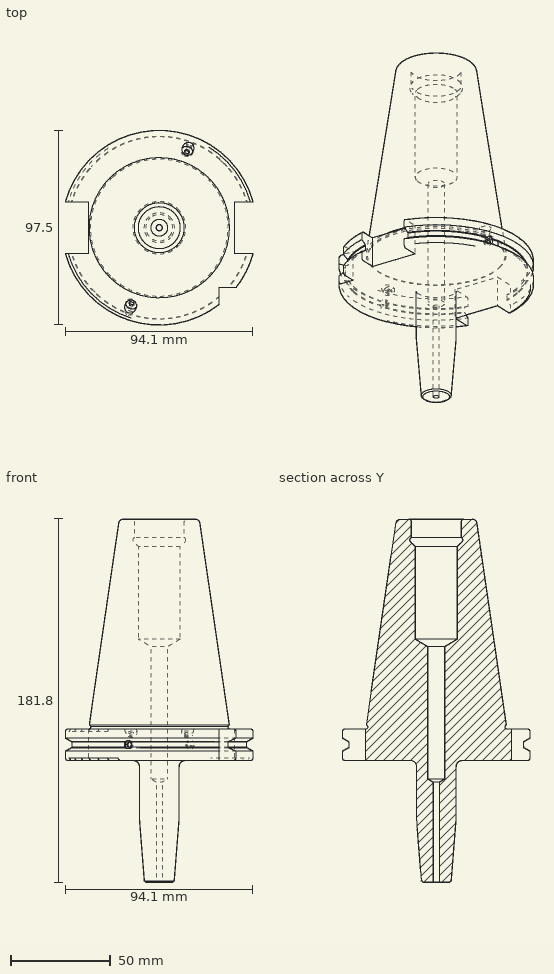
import math

import cadquery as cq


GAUGE_RADIUS = 69.85 / 2
TAPER_SLOPE = 7 / 48
SHANK_TOP_Z = 101.75
SHANK_RIM_FILLET = 2.3
UNDERCUT_TOP_Z = -1.2
UNDERCUT_RADIUS = 34.4
UNDERCUT_FILLET = 0.9

FLANGE_RADIUS = 97.5 / 2
FLANGE_TOP_Z = -3.2
FLANGE_BOTTOM_Z = -19.1
FLANGE_RIM_FILLET = 1.4
GROOVE_Z = -11.1
GROOVE_FLOOR_RADIUS = 91.25 / 2
GROOVE_MOUTH_HALF_WIDTH = 3.25
GROOVE_FLANK_ANGLE = 30.0
GROOVE_ROOT_FILLET = 0.4

SLOT_WIDTH = 25.7
SLOT_FLOOR_MINUS_X = 35.5
SLOT_FLOOR_PLUS_X = 37.7
NOTCH_X = 30.0
NOTCH_Y = 30.0

NOSE_RADIUS = 10.0
NOSE_ROOT_FILLET = 3.0
NOSE_CONE_TOP_Z = -48.0
NOSE_TIP_Z = -80.0
NOSE_CONE_ANGLE = 4.5
NOSE_TIP_CHAMFER = 0.8

PILOT_RADIUS = 12.5
PILOT_DEPTH = 9.2
PILOT_MOUTH_FILLET = 1.25
RELIEF_RADIUS = 13.2
RELIEF_DEPTH = 11.7
THREAD_RADIUS = 10.5
THREAD_START_DEPTH = 13.6
THREAD_END_DEPTH = 60.0
CHANNEL_RADIUS = 4.2
CHANNEL_END_DEPTH = 130.0
TOOL_BORE_RADIUS = 1.5
DRILL_HALF_ANGLE = 59.0

PORT_ANGLES = (70.0, 250.0)
PORT_PITCH_RADIUS = 42.0
FACE_HOLE_RADIUS = 2.9
PORT_TILT = 30.0
FACE_HOLE_DEPTH = 2.8
SOCKET_ACROSS_CORNERS = 2.6
SOCKET_DEPTH = 1.5
SIDE_HOLE_RADIUS = 2.0
SIDE_HOLE_DEPTH = 1.5

CUT_MARGIN = 5.0


def taper_radius(z):
    return GAUGE_RADIUS - TAPER_SLOPE * z


def make_shank():
    fillet_inset = UNDERCUT_FILLET * (1 - math.sqrt(0.5))
    undercut_lip = taper_radius(UNDERCUT_TOP_Z) - UNDERCUT_RADIUS
    profile = (
        cq.Workplane("XZ")
        .moveTo(0, FLANGE_TOP_Z)
        .lineTo(UNDERCUT_RADIUS + UNDERCUT_FILLET, FLANGE_TOP_Z)
        .threePointArc(
            (UNDERCUT_RADIUS + fillet_inset, FLANGE_TOP_Z + fillet_inset),
            (UNDERCUT_RADIUS, FLANGE_TOP_Z + UNDERCUT_FILLET),
        )
        .lineTo(UNDERCUT_RADIUS, UNDERCUT_TOP_Z - undercut_lip)
        .lineTo(taper_radius(UNDERCUT_TOP_Z), UNDERCUT_TOP_Z)
        .lineTo(taper_radius(SHANK_TOP_Z), SHANK_TOP_Z)
        .lineTo(0, SHANK_TOP_Z)
        .close()
    )
    shank = profile.revolve(360, (0, 0), (0, 1))
    return shank.faces(">Z").edges().fillet(SHANK_RIM_FILLET)


def make_flange():
    thickness = FLANGE_TOP_Z - FLANGE_BOTTOM_Z
    disc = cq.Workplane("XY", origin=(0, 0, FLANGE_BOTTOM_Z)).circle(FLANGE_RADIUS).extrude(thickness)
    return disc.edges().fillet(FLANGE_RIM_FILLET).cut(make_groove())


def make_groove():
    flank_slope = math.tan(math.radians(GROOVE_FLANK_ANGLE))
    floor_half = GROOVE_MOUTH_HALF_WIDTH - (FLANGE_RADIUS - GROOVE_FLOOR_RADIUS) * flank_slope
    outer_radius = FLANGE_RADIUS + CUT_MARGIN
    outer_half = GROOVE_MOUTH_HALF_WIDTH + CUT_MARGIN * flank_slope
    ring = (
        cq.Workplane("XZ")
        .moveTo(GROOVE_FLOOR_RADIUS, GROOVE_Z - floor_half)
        .lineTo(outer_radius, GROOVE_Z - outer_half)
        .lineTo(outer_radius, GROOVE_Z + outer_half)
        .lineTo(GROOVE_FLOOR_RADIUS, GROOVE_Z + floor_half)
        .close()
        .revolve(360, (0, 0), (0, 1))
    )
    floor_edges = cq.selectors.RadiusNthSelector(0)
    return ring.edges(floor_edges).fillet(GROOVE_ROOT_FILLET)


def flange_box(x_start, x_end, y_start, y_end):
    """Block through the full flange thickness between the given X and Y limits."""
    return (
        cq.Workplane("XY", origin=(0, 0, FLANGE_BOTTOM_Z))
        .moveTo(x_start, y_start)
        .lineTo(x_end, y_start)
        .lineTo(x_end, y_end)
        .lineTo(x_start, y_end)
        .close()
        .extrude(FLANGE_TOP_Z - FLANGE_BOTTOM_Z)
    )


def cut_slots_and_notch(flange):
    reach = FLANGE_RADIUS + CUT_MARGIN
    half_slot = SLOT_WIDTH / 2
    slot_minus_x = flange_box(-reach, -SLOT_FLOOR_MINUS_X, -half_slot, half_slot)
    slot_plus_x = flange_box(SLOT_FLOOR_PLUS_X, reach, -half_slot, half_slot)
    notch = flange_box(NOTCH_X, reach, -reach, -NOTCH_Y)
    return flange.cut(slot_minus_x).cut(slot_plus_x).cut(notch)


def make_nose():
    cone_height = NOSE_CONE_TOP_Z - NOSE_TIP_Z
    tip_radius = NOSE_RADIUS - cone_height * math.tan(math.radians(NOSE_CONE_ANGLE))
    root_z = FLANGE_BOTTOM_Z - NOSE_ROOT_FILLET
    root_radius = NOSE_RADIUS + NOSE_ROOT_FILLET
    arc_offset = NOSE_ROOT_FILLET * math.sqrt(0.5)
    profile = (
        cq.Workplane("XZ")
        .moveTo(0, NOSE_TIP_Z)
        .lineTo(tip_radius, NOSE_TIP_Z)
        .lineTo(NOSE_RADIUS, NOSE_CONE_TOP_Z)
        .lineTo(NOSE_RADIUS, root_z)
        .threePointArc(
            (root_radius - arc_offset, root_z + arc_offset),
            (root_radius, FLANGE_BOTTOM_Z),
        )
        .lineTo(0, FLANGE_BOTTOM_Z)
        .close()
    )
    nose = profile.revolve(360, (0, 0), (0, 1))
    return nose.faces("<Z").edges().chamfer(NOSE_TIP_CHAMFER)


def make_bore():
    drill_slope = math.tan(math.radians(DRILL_HALF_ANGLE))
    thread_cone = (THREAD_RADIUS - CHANNEL_RADIUS) / drill_slope
    channel_cone = (CHANNEL_RADIUS - TOOL_BORE_RADIUS) / drill_slope
    mouth_radius = PILOT_RADIUS + PILOT_MOUTH_FILLET
    arc_offset = PILOT_MOUTH_FILLET * math.sqrt(0.5)

    def depth(value):
        return SHANK_TOP_Z - value

    return (
        cq.Workplane("XZ")
        .moveTo(0, SHANK_TOP_Z)
        .lineTo(mouth_radius, SHANK_TOP_Z)
        .threePointArc(
            (mouth_radius - arc_offset, depth(PILOT_MOUTH_FILLET) + arc_offset),
            (PILOT_RADIUS, depth(PILOT_MOUTH_FILLET)),
        )
        .lineTo(PILOT_RADIUS, depth(PILOT_DEPTH))
        .threePointArc(
            (RELIEF_RADIUS, depth((PILOT_DEPTH + RELIEF_DEPTH) / 2)),
            (PILOT_RADIUS, depth(RELIEF_DEPTH)),
        )
        .lineTo(THREAD_RADIUS, depth(THREAD_START_DEPTH))
        .lineTo(THREAD_RADIUS, depth(THREAD_END_DEPTH))
        .lineTo(CHANNEL_RADIUS, depth(THREAD_END_DEPTH + thread_cone))
        .lineTo(CHANNEL_RADIUS, depth(CHANNEL_END_DEPTH))
        .lineTo(TOOL_BORE_RADIUS, depth(CHANNEL_END_DEPTH + channel_cone))
        .lineTo(TOOL_BORE_RADIUS, NOSE_TIP_Z)
        .lineTo(0, NOSE_TIP_Z)
        .close()
        .revolve(360, (0, 0), (0, 1))
    )


def make_plugged_hole(plane, radius, depth):
    """Blind hole with a hexagon socket in its floor; the plane lies one cut margin outside the mouth."""
    hole = cq.Workplane(plane).circle(radius).extrude(CUT_MARGIN + depth)
    socket = (
        cq.Workplane(plane)
        .polygon(6, SOCKET_ACROSS_CORNERS)
        .extrude(CUT_MARGIN + depth + SOCKET_DEPTH)
    )
    return hole.union(socket)


def make_coolant_port(angle):
    """Inclined hole in the flange face and radial hole in the groove floor, turned to the given angle."""
    tilt = math.radians(PORT_TILT)
    inward_down = cq.Vector(-math.sin(tilt), 0, -math.cos(tilt))
    face_start = cq.Vector(PORT_PITCH_RADIUS, 0, FLANGE_TOP_Z) - inward_down * CUT_MARGIN
    face_plane = cq.Plane(origin=face_start, xDir=(0, 1, 0), normal=inward_down)
    side_start = (GROOVE_FLOOR_RADIUS + CUT_MARGIN, 0, GROOVE_Z)
    side_plane = cq.Plane(origin=side_start, xDir=(0, 1, 0), normal=(-1, 0, 0))
    face_hole = make_plugged_hole(face_plane, FACE_HOLE_RADIUS, FACE_HOLE_DEPTH)
    side_hole = make_plugged_hole(side_plane, SIDE_HOLE_RADIUS, SIDE_HOLE_DEPTH)
    return face_hole.union(side_hole).rotate((0, 0, 0), (0, 0, 1), angle)


flange = cut_slots_and_notch(make_flange())
for port_angle in PORT_ANGLES:
    flange = flange.cut(make_coolant_port(port_angle))

result = make_shank().union(flange).union(make_nose()).cut(make_bore())